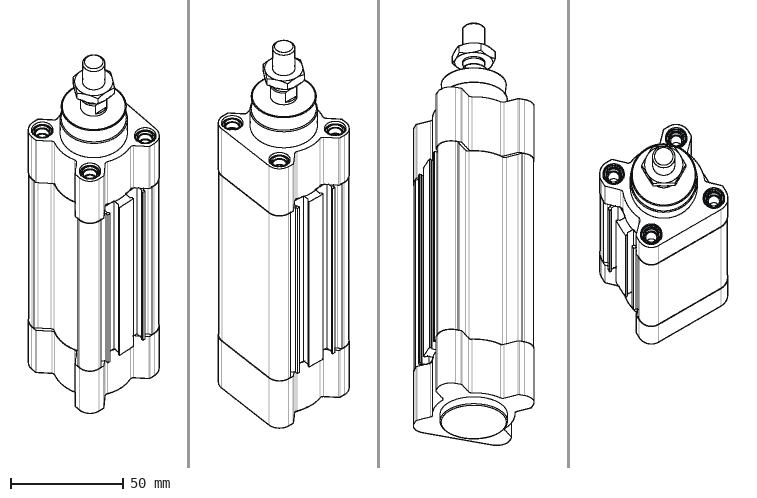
import cadquery as cq
import math

SIDE = 45.0
HALF = SIDE / 2
TOTAL_LENGTH = 205.1
REAR_COLLAR_LENGTH = 4.1
BODY_LENGTH = 154.0
CAP_LENGTH = 28.0

BODY_BOTTOM = REAR_COLLAR_LENGTH
BODY_TOP = BODY_BOTTOM + BODY_LENGTH
BARREL_BOTTOM = BODY_BOTTOM + CAP_LENGTH
BARREL_LENGTH = BODY_LENGTH - 2 * CAP_LENGTH

SCREW_PITCH = 32.5
CAP_CORE_RADIUS = 18.4
CAP_NOTCH_HALF_WIDTH = 13.4
CAP_LOBE_FILLET = 0.9
NOTCH_ROOT_FILLET = 1.5

BARREL_INSET = 0.2
BARREL_HALF = HALF - BARREL_INSET
BARREL_CORE_RADIUS = CAP_CORE_RADIUS - BARREL_INSET
BARREL_FLANK_OFFSET = 7.0
BARREL_FLANK_END = 13.8
BARREL_NOTCH_HALF_WIDTH = 15.0

GROOVE_FLOOR_X = 17.6
GROOVE_MOUTH = (4.1, 9.6)
GROOVE_CHAMBER = (3.3, 10.2)
LIP_LAND = 0.8
LIP_OUTER_Y = 11.0
LIP_OUTER_LAND = 1.3

COLLAR_RADIUS = 15.0
COLLAR_LENGTH = 10.0
COLLAR_CHAMFER = 0.5
WIPER_RADIUS = 14.5
WIPER_WAIST_RADIUS = 14.2
WIPER_LENGTH = 7.6
WIPER_RIM_WIDTH = 0.5
WIPER_RIM_HEIGHT = 0.2

RECESS_DIAMETER = 9.5
RECESS_DEPTH = 2.0
HEAD_SINK = 1.0
HEAD_DIAMETER = 9.0
HEAD_TOP_DIAMETER = 8.2
HEAD_CHAMFER_HEIGHT = 0.3
SOCKET_DIAMETER = 7.0
SOCKET_DEPTH = 1.5
SCREW_THREAD_DIAMETER = 6.0
SCREW_THREAD_DEPTH = 3.0
CORE_HOLE_DIAMETER = 4.92
CORE_HOLE_DEPTH = 16.0
DRILL_TIP_ANGLE = 120.0

ROD_DIAMETER = 12.0
SHOULDER_Z = BODY_TOP + 25.0
ROD_BOTTOM = BODY_TOP - CAP_LENGTH
ROD_CHAMFER = 0.5
FLATS_WIDTH = 10.0
FLATS_LENGTH = 6.0
THREAD_DIAMETER = 10.0
THREAD_TIP_DIAMETER = 8.2
THREAD_TIP_HEIGHT = 0.9
NECK_DIAMETER = 8.2
NECK_LENGTH = 1.0
NECK_TAPER_LENGTH = 2.2

NUT_ACROSS_FLATS = 17.0
NUT_HEIGHT = 5.0
NUT_BOTTOM = BODY_TOP + 29.0
NUT_CHAMFER_ANGLE = 30.0
HEX_HALF_ANGLE = 30.0


def revolve_profile(profile):
    """Turn a closed radius-height profile about the Z axis."""
    return profile.revolve(360, (0, 0, 0), (0, 1, 0))


def square_bar(bottom, length, half_side):
    """Square bar whose rounded corners are centred on the corner screws."""
    bar = cq.Workplane("XY", origin=(0, 0, bottom)).rect(2 * half_side, 2 * half_side).extrude(length)
    return bar.edges("|Z").fillet(half_side - SCREW_PITCH / 2)


def notch_cutter(bottom, length, core_radius, flank_offset, upper_flank):
    """Notch opening toward -Y: 45 degree flanks rise from the round core, then run through upper_flank."""
    root_depth = (flank_offset + math.sqrt(2 * core_radius**2 - flank_offset**2)) / 2
    root_x = root_depth - flank_offset
    left_flank = [(-x, y) for x, y in reversed(upper_flank)]
    cutter = (
        cq.Workplane("XY", origin=(0, 0, bottom))
        .moveTo(-root_x, -root_depth)
        .threePointArc((0, -core_radius), (root_x, -root_depth))
    )
    for x, y in upper_flank + left_flank:
        cutter = cutter.lineTo(x, y)
    cutter = cutter.close().extrude(length)
    return cutter.edges("|Z").edges(">Y").fillet(NOTCH_ROOT_FILLET)


def end_cap(bottom):
    """Cap with notches on the front and both sides; the back stays flat."""
    cap = square_bar(bottom, CAP_LENGTH, HALF)
    cutter = notch_cutter(
        bottom,
        CAP_LENGTH,
        CAP_CORE_RADIUS,
        HALF - CAP_NOTCH_HALF_WIDTH,
        [(CAP_NOTCH_HALF_WIDTH, -HALF)],
    )
    for angle in (0, 90, -90):
        cap = cap.cut(cutter.rotate((0, 0, 0), (0, 0, 1), angle))
    mid_height = bottom + CAP_LENGTH / 2
    lobe_edges = [(x, -HALF) for x in (-CAP_NOTCH_HALF_WIDTH, CAP_NOTCH_HALF_WIDTH)]
    lobe_edges += [(x, y) for x in (-HALF, HALF) for y in (-CAP_NOTCH_HALF_WIDTH, CAP_NOTCH_HALF_WIDTH)]
    for x, y in lobe_edges:
        nearest = cq.selectors.NearestToPointSelector((x, y, mid_height))
        cap = cap.edges("|Z").edges(nearest).fillet(CAP_LOBE_FILLET)
    return cap


def side_groove_cutters():
    """Sensor groove with undercut lips and the relief behind its outer lip, for the +X +Y quarter."""
    mouth_in, mouth_out = GROOVE_MOUTH
    chamber_in, chamber_out = GROOVE_CHAMBER
    land_x = BARREL_HALF - LIP_LAND
    groove = [
        (BARREL_HALF, mouth_in),
        (land_x, mouth_in),
        (land_x - (mouth_in - chamber_in), chamber_in),
        (GROOVE_FLOOR_X, chamber_in),
        (GROOVE_FLOOR_X, chamber_out),
        (land_x - (chamber_out - mouth_out), chamber_out),
        (land_x, mouth_out),
        (BARREL_HALF, mouth_out),
    ]
    lip_x = BARREL_HALF - LIP_OUTER_LAND
    relief_root_x = (lip_x + LIP_OUTER_Y + BARREL_FLANK_OFFSET) / 2
    relief = [
        (BARREL_HALF, LIP_OUTER_Y),
        (lip_x, LIP_OUTER_Y),
        (relief_root_x, relief_root_x - BARREL_FLANK_OFFSET),
        (BARREL_FLANK_END + BARREL_FLANK_OFFSET, BARREL_FLANK_END),
        (BARREL_HALF, BARREL_NOTCH_HALF_WIDTH),
    ]
    base = cq.Workplane("XY", origin=(0, 0, BARREL_BOTTOM))
    return [base.polyline(outline).close().extrude(BARREL_LENGTH) for outline in (groove, relief)]


def barrel():
    """Profile tube: notched front, grooved sides, flat back."""
    tube = square_bar(BARREL_BOTTOM, BARREL_LENGTH, BARREL_HALF)
    upper_flank = [
        (BARREL_FLANK_END, -BARREL_FLANK_END - BARREL_FLANK_OFFSET),
        (BARREL_NOTCH_HALF_WIDTH, -BARREL_HALF),
    ]
    tube = tube.cut(
        notch_cutter(BARREL_BOTTOM, BARREL_LENGTH, BARREL_CORE_RADIUS, BARREL_FLANK_OFFSET, upper_flank)
    )
    for cutter in side_groove_cutters():
        for half_cutter in (cutter, cutter.mirror("XZ")):
            tube = tube.cut(half_cutter).cut(half_cutter.mirror("YZ"))
    return tube


def screw_socket_cutters(x, y):
    """Recess around a sunken chamfered screw head, with a stepped threaded hole down it."""
    recess = revolve_profile(
        cq.Workplane("XZ").polyline([
            (0, 0),
            (RECESS_DIAMETER / 2, 0),
            (RECESS_DIAMETER / 2, -RECESS_DEPTH),
            (HEAD_DIAMETER / 2, -RECESS_DEPTH),
            (HEAD_DIAMETER / 2, -HEAD_SINK - HEAD_CHAMFER_HEIGHT),
            (HEAD_TOP_DIAMETER / 2, -HEAD_SINK),
            (0, -HEAD_SINK),
        ]).close()
    )
    core_radius = CORE_HOLE_DIAMETER / 2
    thread_radius = SCREW_THREAD_DIAMETER / 2
    socket_radius = SOCKET_DIAMETER / 2
    socket_floor = -HEAD_SINK - SOCKET_DEPTH
    thread_end = socket_floor - SCREW_THREAD_DEPTH
    tip_length = core_radius / math.tan(math.radians(DRILL_TIP_ANGLE / 2))
    hole = revolve_profile(
        cq.Workplane("XZ").polyline([
            (0, -HEAD_SINK),
            (socket_radius, -HEAD_SINK),
            (socket_radius, socket_floor),
            (thread_radius, socket_floor),
            (thread_radius, thread_end),
            (core_radius, thread_end),
            (core_radius, -CORE_HOLE_DEPTH),
            (0, -CORE_HOLE_DEPTH - tip_length),
        ]).close()
    )
    return [cutter.translate((x, y, BODY_TOP)) for cutter in (recess, hole)]


def front_collar():
    """Centring collar with the slightly waisted wiper ring on top."""
    collar_top = BODY_TOP + COLLAR_LENGTH
    wiper_top = collar_top + WIPER_LENGTH
    rim_bottom = wiper_top - WIPER_RIM_HEIGHT
    return revolve_profile(
        cq.Workplane("XZ")
        .moveTo(0, BODY_TOP)
        .lineTo(COLLAR_RADIUS, BODY_TOP)
        .lineTo(COLLAR_RADIUS, collar_top - COLLAR_CHAMFER)
        .lineTo(WIPER_RADIUS, collar_top)
        .threePointArc((WIPER_WAIST_RADIUS, (collar_top + rim_bottom) / 2), (WIPER_RADIUS, rim_bottom))
        .lineTo(WIPER_RADIUS - WIPER_RIM_WIDTH, wiper_top)
        .lineTo(0, wiper_top)
        .close()
    )


def rear_collar():
    collar = cq.Workplane("XY").circle(COLLAR_RADIUS).extrude(REAR_COLLAR_LENGTH)
    return collar.faces("<Z").chamfer(COLLAR_CHAMFER)


def make_housing():
    housing = end_cap(BODY_BOTTOM).union(barrel()).union(end_cap(BODY_TOP - CAP_LENGTH))
    housing = housing.union(rear_collar()).union(front_collar())
    half_pitch = SCREW_PITCH / 2
    for x in (-half_pitch, half_pitch):
        for y in (-half_pitch, half_pitch):
            for cutter in screw_socket_cutters(x, y):
                housing = housing.cut(cutter)
    rod_bore = (
        cq.Workplane("XY", origin=(0, 0, ROD_BOTTOM))
        .circle(ROD_DIAMETER / 2)
        .extrude(SHOULDER_Z - ROD_BOTTOM)
    )
    return housing.cut(rod_bore)


def make_piston_rod():
    rod_radius = ROD_DIAMETER / 2
    thread_radius = THREAD_DIAMETER / 2
    neck_radius = NECK_DIAMETER / 2
    neck_top = SHOULDER_Z + NECK_LENGTH
    rod = revolve_profile(
        cq.Workplane("XZ").polyline([
            (0, ROD_BOTTOM),
            (rod_radius, ROD_BOTTOM),
            (rod_radius, SHOULDER_Z - ROD_CHAMFER),
            (rod_radius - ROD_CHAMFER, SHOULDER_Z),
            (neck_radius, SHOULDER_Z),
            (neck_radius, neck_top),
            (thread_radius, neck_top + NECK_TAPER_LENGTH),
            (thread_radius, TOTAL_LENGTH - THREAD_TIP_HEIGHT),
            (THREAD_TIP_DIAMETER / 2, TOTAL_LENGTH),
            (0, TOTAL_LENGTH),
        ]).close()
    )
    flats = (
        cq.Workplane("XY", origin=(0, 0, SHOULDER_Z - FLATS_LENGTH))
        .rect(2 * ROD_DIAMETER, 2 * ROD_DIAMETER)
        .rect(FLATS_WIDTH, 2 * ROD_DIAMETER)
        .extrude(FLATS_LENGTH)
    )
    return rod.cut(flats)


def make_lock_nut():
    """Hexagon nut with flats facing +X and -X and both faces chamfered at the corners."""
    flat_radius = NUT_ACROSS_FLATS / 2
    corner_radius = flat_radius / math.cos(math.radians(HEX_HALF_ANGLE))
    chamfer_height = (corner_radius - flat_radius) * math.tan(math.radians(NUT_CHAMFER_ANGLE))
    nut = (
        cq.Workplane("XY")
        .polygon(6, 2 * corner_radius)
        .extrude(NUT_HEIGHT)
        .rotate((0, 0, 0), (0, 0, 1), HEX_HALF_ANGLE)
    )
    envelope = revolve_profile(
        cq.Workplane("XZ").polyline([
            (0, 0),
            (flat_radius, 0),
            (corner_radius, chamfer_height),
            (corner_radius, NUT_HEIGHT - chamfer_height),
            (flat_radius, NUT_HEIGHT),
            (0, NUT_HEIGHT),
        ]).close()
    )
    bore = cq.Workplane("XY").circle(THREAD_DIAMETER / 2).extrude(NUT_HEIGHT)
    return nut.intersect(envelope).cut(bore).translate((0, 0, NUT_BOTTOM))


housing = make_housing()
piston_rod = make_piston_rod()
lock_nut = make_lock_nut()

result = cq.Compound.makeCompound([housing.val(), piston_rod.val(), lock_nut.val()])